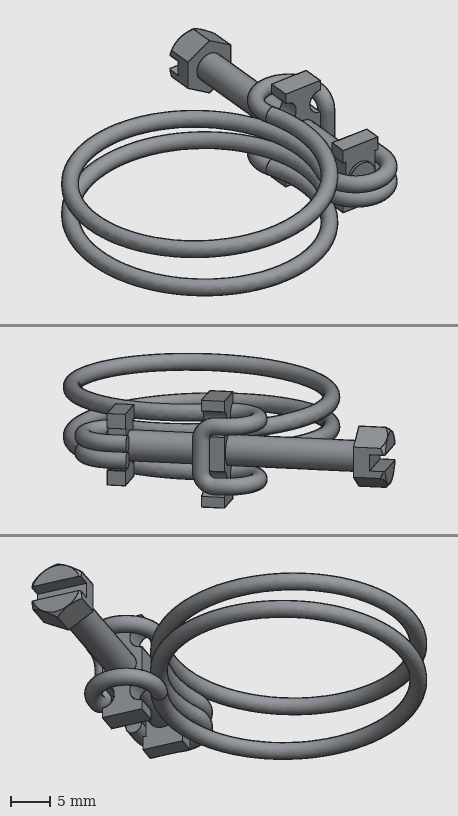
import cadquery as cq
import math


wire_diameter = 2.15
wire_radius = wire_diameter / 2
ring_radius = 16.55
nut_hook_z = wire_radius
yoke_arm_z = 3.93

hook_radius = 4.2
hook_x = 7.1
hook_y = math.sqrt((ring_radius + hook_radius) ** 2 - hook_x ** 2)

joint_angle = math.degrees(math.atan2(hook_y, hook_x))
joint_x = ring_radius * math.cos(math.radians(joint_angle))
joint_y = ring_radius * math.sin(math.radians(joint_angle))
middle_angle = math.radians((90 - joint_angle) / 2)
hook_middle_x = hook_x + hook_radius * math.cos(middle_angle)
hook_middle_y = hook_y - hook_radius * math.sin(middle_angle)
hook_top_y = hook_y + hook_radius

nut_hook_tail = 2.3
yoke_lead = 0.5
yoke_bend_radius = 1.85

plate_width = 5.5
plate_max_y = hook_top_y - wire_radius
screw_y = plate_max_y - plate_width / 2

slide_plate_x = -7.58
slide_plate_thickness = 3.0
slide_plate_height = 14.0
slide_groove_radius = 1.65

nut_plate_x = 5.3
nut_plate_thickness = 2.35
nut_plate_height = 9.38
nut_notch_height = 5.55
nut_notch_depth = 0.45

overall_length = 46.2
screw_head_x = ring_radius + wire_radius - overall_length
head_length = 4.05
head_across_flats = 6.85
head_chamfer = 0.55
slot_width = 2.12
slot_depth = 2.0
shank_diameter = 3.95
screw_tip_x = 8.1


def rod(x_start, x_end, radius):
    """Cylinder on the screw axis."""
    return cq.Workplane("YZ", origin=(x_start, screw_y, 0)).circle(radius).extrude(x_end - x_start)


def make_wire(side):
    """Ring of one and a bit turns with its nut hook; side is 1 for the upper wire, -1 for the lower."""
    sweep_angle = 360 + 2 * (90 - joint_angle)
    rise = yoke_arm_z - nut_hook_z
    pitch = rise * 360 / sweep_angle
    helix = (
        cq.Wire.makeHelix(pitch, rise, ring_radius)
        .rotate(cq.Vector(0, 0, 0), cq.Vector(0, 0, 1), joint_angle)
        .translate(cq.Vector(0, 0, nut_hook_z))
    )
    section = cq.Plane(
        origin=(joint_x, joint_y, nut_hook_z),
        xDir=(joint_x, joint_y, 0),
        normal=(-joint_y, joint_x, 0),
    )
    ring = cq.Workplane(section).circle(wire_radius).sweep(cq.Workplane(helix), isFrenet=True)

    hook_path = (
        cq.Workplane("XY", origin=(0, 0, nut_hook_z))
        .moveTo(joint_x, joint_y)
        .threePointArc((hook_middle_x, hook_middle_y), (hook_x, hook_top_y))
        .lineTo(hook_x - nut_hook_tail, hook_top_y)
    )
    hook = cq.Workplane(section).circle(wire_radius).sweep(hook_path)
    wire = ring.union(hook)
    return wire if side > 0 else wire.mirror("XY")


def make_yoke():
    """Bent wire that joins the two rings and pulls on the slide plate."""
    bend_x = -hook_x + yoke_lead
    bar_x = bend_x + yoke_bend_radius
    bend_z = yoke_arm_z - yoke_bend_radius
    bend_reach = yoke_bend_radius * math.sqrt(0.5)

    def half_path(side):
        """Hook, lead and bend of one arm, from the ring to the bar."""
        arm_z = side * yoke_arm_z
        hook = cq.Edge.makeThreePointArc(
            cq.Vector(-joint_x, joint_y, arm_z),
            cq.Vector(-hook_middle_x, hook_middle_y, arm_z),
            cq.Vector(-hook_x, hook_top_y, arm_z),
        )
        lead = cq.Edge.makeLine(cq.Vector(-hook_x, hook_top_y, arm_z), cq.Vector(bend_x, hook_top_y, arm_z))
        bend = cq.Edge.makeThreePointArc(
            cq.Vector(bend_x, hook_top_y, arm_z),
            cq.Vector(bend_x + bend_reach, hook_top_y, side * (bend_z + bend_reach)),
            cq.Vector(bar_x, hook_top_y, side * bend_z),
        )
        return [hook, lead, bend]

    bar = cq.Edge.makeLine(cq.Vector(bar_x, hook_top_y, bend_z), cq.Vector(bar_x, hook_top_y, -bend_z))
    path = cq.Wire.assembleEdges(half_path(1) + [bar] + half_path(-1))
    section = cq.Plane(
        origin=(-joint_x, joint_y, yoke_arm_z),
        xDir=(-joint_x, joint_y, 0),
        normal=(-joint_y, -joint_x, 0),
    )
    return cq.Workplane(section).circle(wire_radius).sweep(cq.Workplane(path))


def make_plate(x_start, thickness, height):
    """Plain plate with a hole that the screw fills."""
    middle = (x_start + thickness / 2, screw_y, 0)
    plate = cq.Workplane("XY", origin=middle).box(thickness, plate_width, height)
    return plate.cut(rod(x_start, x_start + thickness, shank_diameter / 2))


def make_slide_plate():
    """Plate with half-round grooves in both edges, level with the yoke arms."""
    plate = make_plate(slide_plate_x, slide_plate_thickness, slide_plate_height)
    grooves = (
        cq.Workplane("YZ", origin=(slide_plate_x, screw_y, 0))
        .rarray(plate_width, 2 * yoke_arm_z, 2, 2)
        .circle(slide_groove_radius)
        .extrude(slide_plate_thickness)
    )
    return plate.cut(grooves)


def make_nut_plate():
    """Plate with a shallow notch in the middle of both edges."""
    plate = make_plate(nut_plate_x, nut_plate_thickness, nut_plate_height)
    notches = (
        cq.Workplane("YZ", origin=(nut_plate_x, screw_y, 0))
        .rarray(plate_width, 0.45, 2, 1)
        .rect(2 * nut_notch_depth, nut_notch_height)
        .extrude(nut_plate_thickness)
    )
    return plate.cut(notches)


def make_screw():
    """Slotted hexagon-head screw."""
    corner_radius = head_across_flats / math.sqrt(3)
    head_end_x = screw_head_x + head_length
    head = (
        cq.Workplane("YZ", origin=(screw_head_x, screw_y, 0))
        .transformed(rotate=(0, 0, 90))
        .polygon(6, 2 * corner_radius)
        .extrude(head_length)
    )
    turned_blank = rod(screw_head_x, head_end_x, corner_radius).faces("<X").chamfer(head_chamfer)
    slot = cq.Workplane("XY", origin=(screw_head_x + slot_depth / 2, screw_y, 0)).box(
        slot_depth, 2 * corner_radius, slot_width
    )
    shank = rod(head_end_x, screw_tip_x, shank_diameter / 2)
    return head.intersect(turned_blank).cut(slot).union(shank)


wires = [make_wire(side) for side in (1, -1)]
yoke = make_yoke()
slide_plate = make_slide_plate()
nut_plate = make_nut_plate()
screw = make_screw()

result = cq.Compound.makeCompound(
    [*[wire.val() for wire in wires], yoke.val(), slide_plate.val(), nut_plate.val(), screw.val()]
)